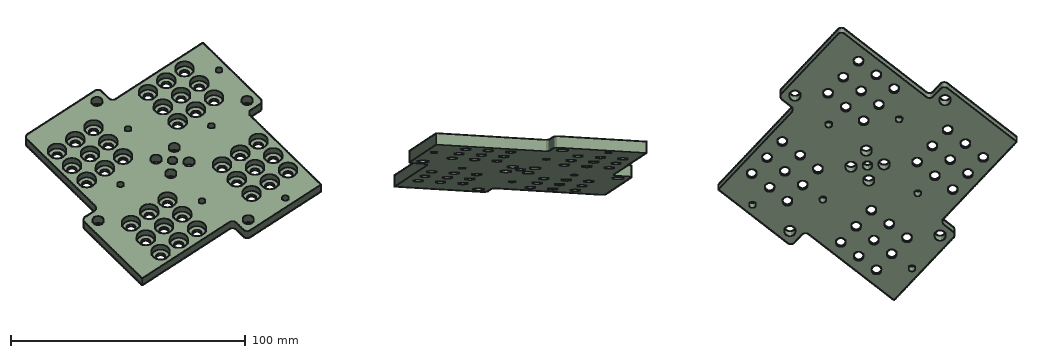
import cadquery as cq

half_size = 50.0
thickness = 5.0
step_depth = 9.0
shoulder = half_size - step_depth
corner_radius = 2.0

cluster_offset = 25.0
hole_pitch = 10.0
holes_per_side = 3
cluster_hole_diameter = 4.2
counterbore_diameter = 8.0
counterbore_depth = 3.5

mount_diameter = 4.8
mount_offset = 5.0
tab_mount_offset = half_size - mount_offset
centre_diameter = 4.0

small_diameter = 2.9
small_spacing = 21.0
small_near = small_spacing - cluster_offset
small_far = small_spacing + cluster_offset
column_shift = 0.2
row_shift = 0.4
left_column = -cluster_offset - column_shift
right_column = cluster_offset - column_shift
upper_row = cluster_offset - row_shift
lower_row = -cluster_offset - row_shift

outline = [
    (-shoulder, half_size),
    (0, half_size),
    (0, shoulder),
    (half_size, shoulder),
    (half_size, 0),
    (shoulder, 0),
    (shoulder, -half_size),
    (0, -half_size),
    (0, -shoulder),
    (-half_size, -shoulder),
    (-half_size, 0),
    (-shoulder, 0),
]
sharp_corners = [
    (-shoulder, half_size),
    (half_size, shoulder),
    (shoulder, -half_size),
]
rounded_corners = [point for point in outline if point not in sharp_corners]

small_holes = [
    (left_column, small_far),
    (left_column, small_near),
    (right_column, small_near),
    (small_near, lower_row),
    (small_near, upper_row),
    (small_far, upper_row),
]
tab_mounts = [
    (-mount_offset, tab_mount_offset),
    (tab_mount_offset, mount_offset),
    (mount_offset, -tab_mount_offset),
    (-tab_mount_offset, -mount_offset),
]


def square_grid(centre_x, centre_y, pitch, count):
    """Points of a square grid around a centre."""
    first = -pitch * (count - 1) / 2
    steps = [first + pitch * i for i in range(count)]
    return [(centre_x + dx, centre_y + dy) for dx in steps for dy in steps]


def make_plate():
    """Pinwheel plate with its vertical edges rounded."""
    plate = cq.Workplane("XY").polyline(outline).close().extrude(thickness)
    for x, y in rounded_corners:
        edge = cq.selectors.NearestToPointSelector((x, y, thickness / 2))
        plate = plate.edges("|Z").edges(edge).fillet(corner_radius)
    return plate


def drill(plate, points, diameter):
    """Through holes at the given points."""
    return plate.faces(">Z").workplane(origin=(0, 0, 0)).pushPoints(points).hole(diameter)


def drill_cluster(plate, centre_x, centre_y):
    """Square grid of holes, counterbored from the top."""
    points = square_grid(centre_x, centre_y, hole_pitch, holes_per_side)
    top = plate.faces(">Z").workplane(origin=(0, 0, 0)).pushPoints(points)
    return top.cboreHole(cluster_hole_diameter, counterbore_diameter, counterbore_depth)


result = make_plate()
for cluster_x, cluster_y in square_grid(0, 0, 2 * cluster_offset, 2):
    result = drill_cluster(result, cluster_x, cluster_y)
result = drill(result, square_grid(0, 0, 2 * mount_offset, 2) + tab_mounts, mount_diameter)
result = drill(result, [(0, 0)], centre_diameter)
result = drill(result, small_holes, small_diameter)